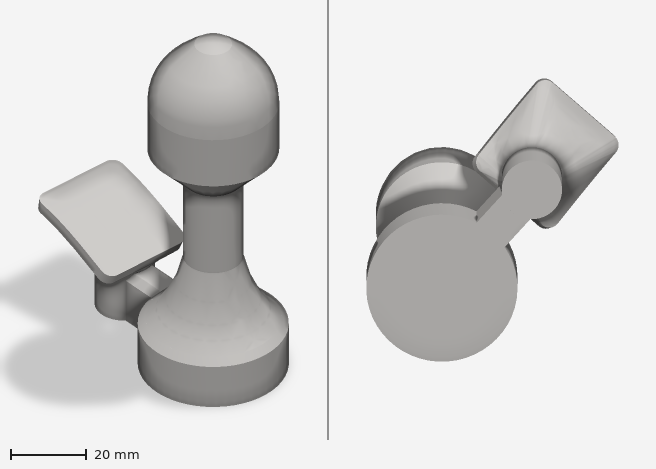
import cadquery as cq
import math

base_diameter = 40.0
base_height = 15.0
base_chamfer = 2.0
arm_width = 10.0

stem_diameter = 16.0
flare_top = 35.0
flare_bottom_slope = 40.0
flare_top_slope = 78.0
stem_top = 60.0
knob_diameter = 35.0
knob_cone_top = 70.0
knob_side_top = 85.0
dome_middle = (14.3, 95.1)
dome_top_slope = 39.0
tip_diameter = 10.0
tip_bottom = 103.8
total_height = 105.0

post_diameter = 16.0
post_x = -35.8
pad_left = (-56.0, 30.1)
pad_right = (-26.1, 19.5)
pad_left_slope = 8.0
pad_right_slope = 24.0
pad_width = 28.0
pad_thickness = 3.5
pad_corner_radius = 3.0
inlay_margin = 0.9
inlay_depth = 1.0

stem_radius = stem_diameter / 2
post_radius = post_diameter / 2
knob_radius = knob_diameter / 2
tip_radius = tip_diameter / 2
base_top_radius = base_diameter / 2 - base_chamfer


def direction(degrees):
    """Unit vector in a profile plane, at an angle above its horizontal axis."""
    angle = math.radians(degrees)
    return (math.cos(angle), math.sin(angle))


def revolve_around_z(profile):
    return profile.close().revolve(360, (0, 0, 0), (0, 1, 0))


def make_base():
    """Disc and arm with one continuous top chamfer, hollowed where the post stands."""
    disc = cq.Workplane("XY").circle(base_diameter / 2).extrude(base_height)
    arm = (
        cq.Workplane("XY")
        .center(post_x / 2, 0)
        .rect(-post_x, arm_width)
        .extrude(base_height)
    )
    post_recess = cq.Workplane("XY").center(post_x, 0).circle(post_radius).extrude(base_height)
    return disc.union(arm).faces(">Z").chamfer(base_chamfer).cut(post_recess)


def make_flare():
    """Collar that sweeps in from the chamfered base to the stem."""
    profile = (
        cq.Workplane("XZ")
        .moveTo(0, base_height)
        .lineTo(base_top_radius, base_height)
        .spline(
            [(stem_radius, flare_top)],
            tangents=[direction(180 - flare_bottom_slope), direction(180 - flare_top_slope)],
            includeCurrent=True,
        )
        .lineTo(0, flare_top)
    )
    return revolve_around_z(profile)


def make_stem():
    return (
        cq.Workplane("XY")
        .workplane(offset=flare_top)
        .circle(stem_radius)
        .extrude(stem_top - flare_top)
    )


def make_knob():
    """Cone, cylinder and tapering dome with a shallow spherical tip."""
    tip_rise = total_height - tip_bottom
    tip_sphere_radius = (tip_radius**2 + tip_rise**2) / (2 * tip_rise)
    profile = (
        cq.Workplane("XZ")
        .moveTo(0, stem_top)
        .lineTo(stem_radius, stem_top)
        .lineTo(knob_radius, knob_cone_top)
        .lineTo(knob_radius, knob_side_top)
        .spline(
            [dome_middle, (tip_radius, tip_bottom)],
            tangents=[direction(90), direction(180 - dome_top_slope)],
            includeCurrent=True,
        )
        .radiusArc((0, total_height), -tip_sphere_radius)
    )
    return revolve_around_z(profile)


def curved_slab(depth):
    """Curved sheet under the top surface of the pad, with ends square to that surface."""
    left_x, left_z = direction(-pad_left_slope)
    right_x, right_z = direction(-pad_right_slope)
    lower_left = (pad_left[0] + depth * left_z, pad_left[1] - depth * left_x)
    lower_right = (pad_right[0] + depth * right_z, pad_right[1] - depth * right_x)
    return (
        cq.Workplane("XZ", origin=(0, pad_width / 2, 0))
        .moveTo(*pad_left)
        .spline([pad_right], tangents=[(left_x, left_z), (right_x, right_z)], includeCurrent=True)
        .lineTo(*lower_right)
        .spline([lower_left], tangents=[(-right_x, -right_z), (-left_x, -left_z)], includeCurrent=True)
        .close()
        .extrude(pad_width)
    )


def make_inlay():
    """Thin rounded panel that lies flush in the top of the pad."""
    length = pad_right[0] - pad_left[0] - 2 * inlay_margin
    outline = (
        cq.Workplane("XY")
        .center((pad_left[0] + pad_right[0]) / 2, 0)
        .rect(length, pad_width - 2 * inlay_margin)
        .extrude(total_height)
        .edges("|Z")
        .fillet(pad_corner_radius - inlay_margin)
    )
    return curved_slab(inlay_depth).intersect(outline)


def make_neck(pad_underside):
    """Transition from the round post top to the rounded underside of the pad.

    Each edge of the underside is joined by a ruled face to the arc of the post
    circle that spans the same directions seen from the middle of the pad.
    """
    pad_center = pad_underside.Center()
    post_top = cq.Vector(post_x, 0, base_height)

    def circle_point(point):
        outward = cq.Vector(point.x - pad_center.x, point.y, 0)
        return post_top + outward.normalized() * post_radius

    arcs = []
    faces = [pad_underside]
    for edge in pad_underside.Edges():
        start = circle_point(edge.startPoint())
        end = circle_point(edge.endPoint())
        halfway = (start + end) / 2 - post_top
        middle = post_top + halfway.normalized() * post_radius
        arc = cq.Edge.makeThreePointArc(start, middle, end)
        arcs.append(arc)
        aligned_edge = cq.Edge(edge.wrapped.Oriented(arc.wrapped.Orientation()))
        faces.append(cq.Face.makeRuledSurface(arc, aligned_edge))
    faces.append(cq.Face.makeFromWires(cq.Wire.assembleEdges(arcs)))
    return cq.Workplane(cq.Solid.makeSolid(cq.Shell.makeShell(faces)).fix())


def make_thumb_rest(inlay):
    """Post, neck and pad in one piece, with a pocket for the inlay."""
    post = cq.Workplane("XY").center(post_x, 0).circle(post_radius).extrude(base_height)
    pad = curved_slab(pad_thickness).edges("%LINE").edges("not |Y").fillet(pad_corner_radius)
    neck = make_neck(pad.faces("not %PLANE").faces("not %CYLINDER").faces("<Z").val())
    return post.union(neck).union(pad).cut(inlay)


base = make_base()
flare = make_flare()
stem = make_stem()
knob = make_knob()
inlay = make_inlay()
thumb_rest = make_thumb_rest(inlay)

result = cq.Compound.makeCompound(
    [
        base.solids().val(),
        flare.solids().val(),
        stem.solids().val(),
        knob.solids().val(),
        thumb_rest.solids().val(),
        inlay.solids().val(),
    ]
)